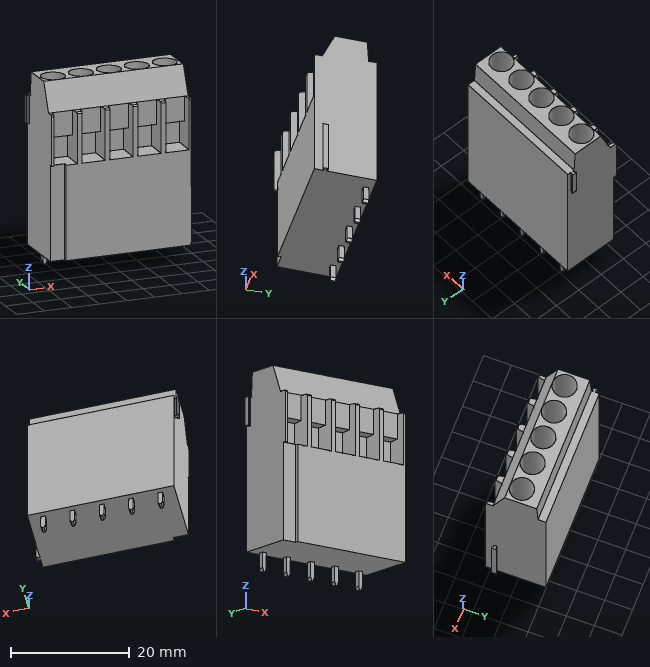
import cadquery as cq
import math

POLES = 5
PITCH = 5.08

WIDTH = POLES * PITCH
DEPTH = 10.94
HEIGHT = 31.0
FRONT_Y = -DEPTH

BACK_STEP_Z = HEIGHT - 4.25
BACK_STEP_Y = -1.42
TOP_BACK_Y = -1.67
TOP_FRONT_Y = -7.42
LEDGE_Z = HEIGHT - 5.0
LEDGE_BACK_Y = -9.55
LEDGE_CHAMFER = 0.25

HOLE_DIAMETER = 4.2
HOLE_Y = -5.28
HOLE_DEPTH = 10.0

POCKET_WIDTH = 4.22
POCKET_FLOOR_Z = HEIGHT - 14.1
POCKET_DRAFT = 11.3
SHALLOW_DEPTH = DEPTH + LEDGE_BACK_Y
DEEP_DEPTH = 2.85
STEP_Z = HEIGHT - 9.37
DEEP_TOP_Z = STEP_Z + SHALLOW_DEPTH * math.tan(math.radians(POCKET_DRAFT))
SHALLOW_TOP_Z = HEIGHT

NOTCH_WIDTH = 2.6
NOTCH_DEPTH = 0.6
NOTCH_HEIGHT = 17.0

RAIL_REACH = 0.64
RAIL_HEAD_THICKNESS = 0.3
RAIL_HEAD_WIDTH = 0.96
RAIL_NECK_WIDTH = 0.5
RAIL_ROUNDING = 0.1
LEFT_RAIL_Y = -0.95
LEFT_RAIL_LENGTH = 5.0
RIGHT_RAIL_Y = -9.1
RIGHT_RAIL_LENGTH = 10.0

PIN_LENGTH = 3.3
PIN_WIDTH = 0.8
PIN_THICKNESS = 0.96
PIN_Y = -1.3
PIN_TIP_LENGTH = 0.6
PIN_TIP_WIDTH = 0.35

pole_positions = [(pole - (POLES - 1) / 2) * PITCH for pole in range(POLES)]


def make_block():
    """Housing profile in the YZ plane, extruded along X, with the front ledge edge chamfered."""
    profile = [
        (0, 0),
        (0, BACK_STEP_Z),
        (BACK_STEP_Y, BACK_STEP_Z),
        (TOP_BACK_Y, HEIGHT),
        (TOP_FRONT_Y, HEIGHT),
        (LEDGE_BACK_Y, LEDGE_Z),
        (FRONT_Y, LEDGE_Z),
        (FRONT_Y, 0),
    ]
    block = cq.Workplane("YZ").polyline(profile).close().extrude(WIDTH / 2, both=True)
    ledge_edge = cq.selectors.NearestToPointSelector((0, FRONT_Y, LEDGE_Z))
    return block.edges(ledge_edge).chamfer(LEDGE_CHAMFER)


def make_wire_holes():
    centres = [(x, HOLE_Y) for x in pole_positions]
    return (
        cq.Workplane("XY", origin=(0, 0, HEIGHT))
        .pushPoints(centres)
        .circle(HOLE_DIAMETER / 2)
        .extrude(-HOLE_DEPTH)
    )


def make_drafted_cut(x, top_z, depth):
    """Block from the pocket floor up to top_z, narrowing from the front face inwards."""
    height = top_z - POCKET_FLOOR_Z
    centre_z = POCKET_FLOOR_Z + height / 2
    front_plane = cq.Plane(origin=(x, FRONT_Y, centre_z), xDir=(1, 0, 0), normal=(0, 1, 0))
    return cq.Workplane(front_plane).rect(POCKET_WIDTH, height).extrude(depth, taper=POCKET_DRAFT)


def make_pocket(x):
    shallow = make_drafted_cut(x, SHALLOW_TOP_Z, SHALLOW_DEPTH)
    deep = make_drafted_cut(x, DEEP_TOP_Z, DEEP_DEPTH)
    return shallow.union(deep)


def make_notch():
    return (
        cq.Workplane("XY")
        .box(NOTCH_WIDTH, NOTCH_DEPTH, NOTCH_HEIGHT, centered=False)
        .translate((-WIDTH / 2, FRONT_Y, 0))
    )


def make_rail(side, y, bottom_z, length):
    """Rail on an end face, rounded behind its head; side is -1 for the left end and 1 for the right end."""
    end_x = side * WIDTH / 2
    neck_length = RAIL_REACH - RAIL_HEAD_THICKNESS
    neck_x = end_x + side * neck_length / 2
    head_x = end_x + side * (RAIL_REACH - RAIL_HEAD_THICKNESS / 2)
    base = cq.Workplane("XY", origin=(0, y, bottom_z))
    neck = base.center(neck_x, 0).rect(neck_length, RAIL_NECK_WIDTH).extrude(length)
    head = base.center(head_x, 0).rect(RAIL_HEAD_THICKNESS, RAIL_HEAD_WIDTH).extrude(length)
    return neck.union(head).edges("|Z").edges("not(<X or >X)").fillet(RAIL_ROUNDING)


def make_housing():
    housing = make_block().cut(make_wire_holes())
    for x in pole_positions:
        housing = housing.cut(make_pocket(x))
    housing = housing.cut(make_notch())
    left_rail = make_rail(-1, LEFT_RAIL_Y, BACK_STEP_Z - LEFT_RAIL_LENGTH, LEFT_RAIL_LENGTH)
    right_rail = make_rail(1, RIGHT_RAIL_Y, 0, RIGHT_RAIL_LENGTH)
    return housing.union(left_rail).union(right_rail)


def make_pin(x):
    """Flat pin that stands against the underside and narrows to a blunt tip."""
    shoulder_z = PIN_TIP_LENGTH - PIN_LENGTH
    outline = [
        (-PIN_WIDTH / 2, 0),
        (-PIN_WIDTH / 2, shoulder_z),
        (-PIN_TIP_WIDTH / 2, -PIN_LENGTH),
        (PIN_TIP_WIDTH / 2, -PIN_LENGTH),
        (PIN_WIDTH / 2, shoulder_z),
        (PIN_WIDTH / 2, 0),
    ]
    return (
        cq.Workplane("XZ", origin=(x, PIN_Y, 0))
        .polyline(outline)
        .close()
        .extrude(PIN_THICKNESS / 2, both=True)
    )


housing = make_housing()
pins = [make_pin(x) for x in pole_positions]

result = cq.Compound.makeCompound([housing.val(), *[pin.val() for pin in pins]])